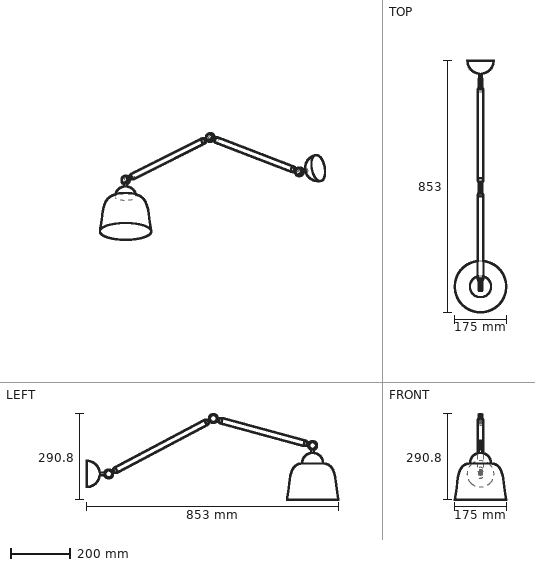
import cadquery as cq
import math


HINGE_RADIUS = 15.0
HINGE_WIDTH = 15.0
HINGE_FACE_RADIUS = 11.5
HINGE_GAP = 2.0
HINGE_CORE_RADIUS = 14.0
NECK_RADIUS = 5.0

ARM_RADIUS = 10.0
COLLAR_START = 20.0
COLLAR_END = 30.0
COLLAR_TIP_RADIUS = 6.5
LOWER_ARM_PITCH = 401.0
LOWER_ARM_ANGLE = math.radians(27.9)
UPPER_ARM_ANGLE = math.radians(-15.2)

CANOPY_RADIUS = 45.0
WALL_HINGE_REACH = 75.0

TOTAL_DEPTH = 853.0
TOTAL_HEIGHT = 290.8
RIM_RADIUS = 87.5
SHADE_HEIGHT = 124.0
SHADE_DRAFT = math.radians(8.5)
SHADE_SHOULDER_RADIUS = 40.0
DOME_RADIUS = 36.0

wall_hinge = (-WALL_HINGE_REACH, 0.0)
elbow_hinge = (
    wall_hinge[0] - LOWER_ARM_PITCH * math.cos(LOWER_ARM_ANGLE),
    wall_hinge[1] + LOWER_ARM_PITCH * math.sin(LOWER_ARM_ANGLE),
)
lamp_axis_y = RIM_RADIUS - TOTAL_DEPTH
upper_arm_run = elbow_hinge[0] - lamp_axis_y
upper_arm_pitch = upper_arm_run / math.cos(UPPER_ARM_ANGLE)
lamp_hinge = (lamp_axis_y, elbow_hinge[1] + upper_arm_run * math.tan(UPPER_ARM_ANGLE))

rim_z = elbow_hinge[1] + HINGE_RADIUS - TOTAL_HEIGHT
shoulder_z = rim_z + SHADE_HEIGHT
dome_top_z = shoulder_z + DOME_RADIUS

TOWARD_WALL = math.pi
STRAIGHT_DOWN = -math.pi / 2


def tangent_arc_radius(run, drop):
    """Radius of an arc that starts along the run and has fallen by the drop at its end."""
    return (run**2 + drop**2) / (2 * drop)


def ray_plane(hinge, angle, start):
    """Plane square to a ray from the hinge centre, at the given distance along it."""
    dy = -math.cos(angle)
    dz = math.sin(angle)
    origin = (0, hinge[0] + start * dy, hinge[1] + start * dz)
    return cq.Plane(origin=origin, xDir=(1, 0, 0), normal=(0, dy, dz))


def rod(hinge, angle, start, end, radius):
    """Cylinder between two distances along a ray from the hinge centre."""
    return cq.Workplane(ray_plane(hinge, angle, start)).circle(radius).extrude(end - start)


def collar(hinge, angle):
    """Neck and rounded collar that carry one end of an arm tube."""
    length = COLLAR_END - COLLAR_START
    rounding = tangent_arc_radius(length, ARM_RADIUS - COLLAR_TIP_RADIUS)
    across = ray_plane(hinge, angle, COLLAR_START)
    along = cq.Plane(origin=across.origin, xDir=across.xDir, normal=across.yDir.multiply(-1))
    rounded_end = (
        cq.Workplane(along)
        .lineTo(COLLAR_TIP_RADIUS, 0)
        .radiusArc((ARM_RADIUS, length), -rounding)
        .lineTo(0, length)
        .close()
        .revolve(360, (0, 0, 0), (0, 1, 0))
    )
    return rounded_end.union(rod(hinge, angle, 0, COLLAR_START, NECK_RADIUS))


def hinge_discs(hinge):
    """Two round-rimmed discs on a slightly smaller core."""
    inner = HINGE_GAP / 2
    outer = HINGE_WIDTH / 2
    rounding = tangent_arc_radius(outer - inner, HINGE_RADIUS - HINGE_FACE_RADIUS)
    disc = (
        cq.Workplane("XY", origin=(0, *hinge))
        .moveTo(inner, 0)
        .lineTo(inner, HINGE_RADIUS)
        .radiusArc((outer, HINGE_FACE_RADIUS), rounding)
        .lineTo(outer, 0)
        .close()
        .revolve(360, (0, 0, 0), (1, 0, 0))
    )
    core = cq.Workplane("YZ").center(*hinge).circle(HINGE_CORE_RADIUS).extrude(inner, both=True)
    return core.union(disc).union(disc.mirror("YZ"))


def tube(hinge, angle, pitch):
    """Plain arm tube between the collars of two hinges."""
    return rod(hinge, angle, COLLAR_END, pitch - COLLAR_END, ARM_RADIUS)


def canopy_dome():
    """Half ball with its flat face on the wall."""
    half_section = (
        cq.Workplane("YZ")
        .lineTo(0, CANOPY_RADIUS)
        .radiusArc((-CANOPY_RADIUS, 0), -CANOPY_RADIUS)
        .close()
    )
    return half_section.revolve(360, (0, 0, 0), (1, 0, 0))


def shade():
    """Flared shade with a smoothly rounded shoulder, topped by a half ball."""
    corner_radius = RIM_RADIUS - SHADE_HEIGHT * math.tan(SHADE_DRAFT)
    turn = math.pi / 2 - SHADE_DRAFT
    tangent_length = SHADE_SHOULDER_RADIUS * math.tan(turn / 2)
    centre_r = corner_radius - tangent_length
    centre_z = shoulder_z - SHADE_SHOULDER_RADIUS

    def shoulder_point(angle):
        r = centre_r + SHADE_SHOULDER_RADIUS * math.cos(angle)
        return (-r, centre_z + SHADE_SHOULDER_RADIUS * math.sin(angle))

    skirt_top = shoulder_point(SHADE_DRAFT)
    skirt_middle = ((skirt_top[0] - RIM_RADIUS) / 2, (skirt_top[1] + rim_z) / 2)
    profile = [
        (-RIM_RADIUS, rim_z),
        skirt_middle,
        skirt_top,
        shoulder_point(SHADE_DRAFT + turn / 2),
        (-DOME_RADIUS, shoulder_z),
    ]
    skirt_direction = (math.sin(SHADE_DRAFT), math.cos(SHADE_DRAFT))
    half_section = (
        cq.Workplane("YZ", origin=(0, lamp_axis_y, 0))
        .moveTo(0, rim_z)
        .lineTo(*profile[0])
        .spline(profile[1:], tangents=[skirt_direction, (1, 0)], includeCurrent=True)
        .radiusArc((0, dome_top_z), DOME_RADIUS)
        .close()
    )
    return half_section.revolve(360, (0, 0, 0), (0, 1, 0))


wall_neck = rod(wall_hinge, TOWARD_WALL, 0, WALL_HINGE_REACH, NECK_RADIUS)
wall_mount = (
    canopy_dome()
    .union(wall_neck)
    .union(hinge_discs(wall_hinge))
    .union(collar(wall_hinge, LOWER_ARM_ANGLE))
)

elbow = (
    hinge_discs(elbow_hinge)
    .union(collar(elbow_hinge, LOWER_ARM_ANGLE + math.pi))
    .union(collar(elbow_hinge, UPPER_ARM_ANGLE))
)

lamp_neck = rod(lamp_hinge, STRAIGHT_DOWN, 0, lamp_hinge[1] - shoulder_z, NECK_RADIUS)
lamp_head = (
    shade()
    .union(lamp_neck)
    .union(hinge_discs(lamp_hinge))
    .union(collar(lamp_hinge, UPPER_ARM_ANGLE + math.pi))
)

lower_arm = tube(wall_hinge, LOWER_ARM_ANGLE, LOWER_ARM_PITCH)
upper_arm = tube(elbow_hinge, UPPER_ARM_ANGLE, upper_arm_pitch)

result = cq.Compound.makeCompound(
    [wall_mount.val(), lower_arm.val(), elbow.val(), upper_arm.val(), lamp_head.val()]
)